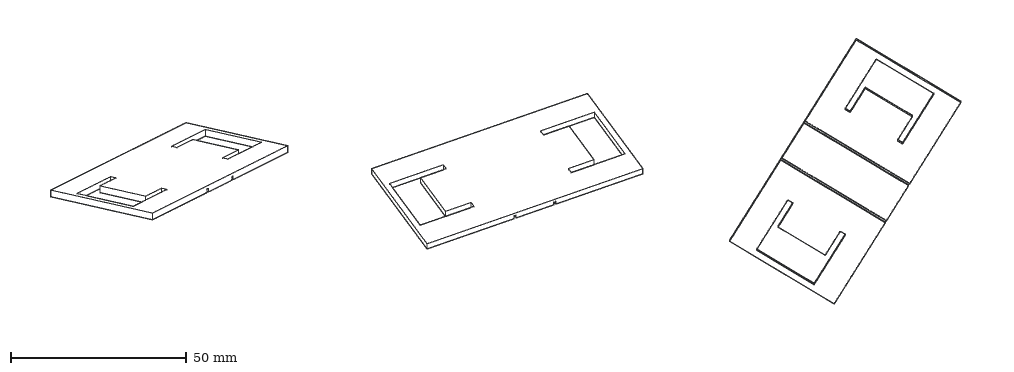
import cadquery as cq

length = 69
width = 35.0
thickness = 2.1

end_rim = 1.8
window_width = 19.3
window_length = 17.2
side_gap = 1.8
tongue_length = 8.2

groove_width = 0.6
groove_depth = 1.05
groove_offset = 6.35

window_outer_y = length / 2 - end_rim
window_inner_y = window_outer_y - window_length
tongue_width = window_width - 2 * side_gap


def make_window(side):
    """U-shaped through cutter; side is +1 or -1 along Y."""
    opening = (
        cq.Workplane("XY")
        .center(0, side * (window_outer_y + window_inner_y) / 2)
        .rect(window_width, window_length)
        .extrude(thickness)
    )
    tongue = (
        cq.Workplane("XY")
        .center(0, side * (window_inner_y + tongue_length / 2))
        .rect(tongue_width, tongue_length)
        .extrude(thickness)
    )
    return opening.cut(tongue)


def make_groove(side):
    """Full-width underside groove cutter; side is +1 or -1 along Y."""
    return (
        cq.Workplane("XY")
        .center(0, side * groove_offset)
        .rect(width, groove_width)
        .extrude(groove_depth)
    )


result = cq.Workplane("XY").rect(width, length).extrude(thickness)
for side in (1, -1):
    result = result.cut(make_window(side))
    result = result.cut(make_groove(side))